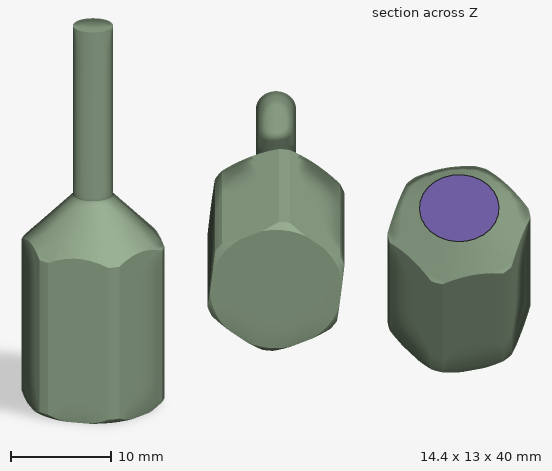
import cadquery as cq
import math

total_height = 40.0
hex_sides = 6
across_flats = 13.0
corner_diameter = 14.4
pin_diameter = 4.0
pin_length = 18.0
cone_half_angle = 45.0
bottom_chamfer = 0.6

corner_radius = corner_diameter / 2
pin_radius = pin_diameter / 2
pin_base_z = total_height - pin_length
cone_height = (corner_radius - pin_radius) / math.tan(math.radians(cone_half_angle))
cone_base_z = pin_base_z - cone_height
across_corners = across_flats / math.cos(math.pi / hex_sides)


def turned_envelope():
    """Revolved profile: chamfered cylinder, cone and pin around the Z axis."""
    return (
        cq.Workplane("XZ")
        .moveTo(0, 0)
        .lineTo(corner_radius - bottom_chamfer, 0)
        .lineTo(corner_radius, bottom_chamfer)
        .lineTo(corner_radius, cone_base_z)
        .lineTo(pin_radius, pin_base_z)
        .lineTo(pin_radius, total_height)
        .lineTo(0, total_height)
        .close()
        .revolve(360, (0, 0, 0), (0, 1, 0))
    )


def hexagonal_bar():
    """Hexagonal prism with corners on the X axis and flats facing +Y and -Y."""
    return cq.Workplane("XY").polygon(hex_sides, across_corners).extrude(total_height)


result = turned_envelope().intersect(hexagonal_bar())